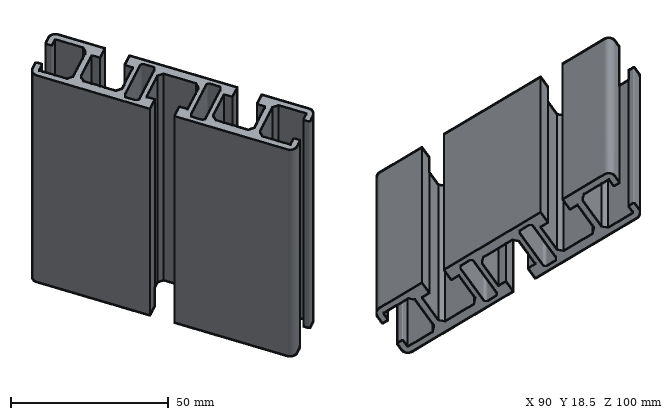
import cadquery as cq

width = 90.0
depth = 18.5
length = 100.0
outer_radius = 2.4

mouth_width = 8.3
pocket_width = 14.0
pocket_depth = 11.0
pocket_chamfer = 1.5
lip_edge_radius = 0.3
face_lip = 4.3
side_lip = (depth - pocket_width) / 2

slot_pitch = width / 4

chamber_width = 4.9
chamber_depth = 15.0
chamber_radius = 1.0
chamber_offset = slot_pitch / 2


def t_slot(lip):
    """Cutter for a slot that opens toward -Y at Y = 0, running along Z."""
    mouth = cq.Workplane("XY").rect(mouth_width, 2 * lip).extrude(length)
    pocket = (
        cq.Workplane("XY")
        .center(0, lip + pocket_depth / 2)
        .rect(pocket_width, pocket_depth)
        .extrude(length)
        .edges("|Z and >Y")
        .chamfer(pocket_chamfer)
    )
    return mouth.union(pocket)


def turned(cutter, angle):
    """Turn a slot cutter about the Z axis."""
    return cutter.rotate((0, 0, 0), (0, 0, 1), angle)


def chamber(x):
    """Cutter for a rounded hollow centred at the given X."""
    return (
        cq.Workplane("XY")
        .center(x, 0)
        .rect(chamber_width, chamber_depth)
        .extrude(length)
        .edges("|Z")
        .fillet(chamber_radius)
    )


result = (
    cq.Workplane("XY")
    .rect(width, depth)
    .extrude(length)
    .edges("|Z")
    .fillet(outer_radius)
)

face_slot = t_slot(face_lip)
result = result.cut(face_slot.translate((0, -depth / 2, 0)))

side_slot = t_slot(side_lip)
for side in (-1, 1):
    result = result.cut(turned(face_slot, 180).translate((side * slot_pitch, depth / 2, 0)))
    result = result.cut(turned(side_slot, side * 90).translate((side * width / 2, 0, 0)))
    result = result.cut(chamber(side * chamber_offset))

half_mouth = mouth_width / 2
for side in (-1, 1):
    lip_centre = side * (width - side_lip) / 2
    reach = side_lip / 2 + lip_edge_radius
    lip_edges = cq.selectors.BoxSelector(
        (lip_centre - reach, -half_mouth - lip_edge_radius, 0),
        (lip_centre + reach, half_mouth + lip_edge_radius, length),
    )
    result = result.edges("|Z").edges(lip_edges).fillet(lip_edge_radius)